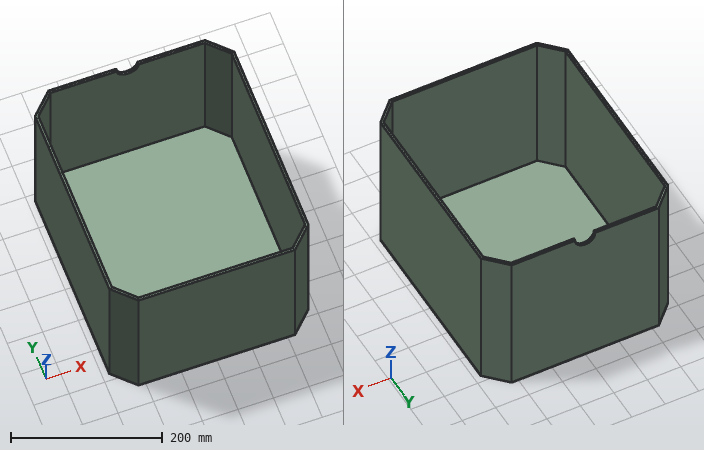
import cadquery as cq

length_x = 280.0
length_y = 340.0
height = 225.0
corner_chamfer = 30.0

wall = 4.0

notch_radius = 15.0
notch_overrun = wall


def chamfered_prism(size_x, size_y, size_z, chamfer):
    """Rectangular block on Z = 0 with its four vertical edges chamfered."""
    block = cq.Workplane("XY").box(size_x, size_y, size_z, centered=(True, True, False))
    return block.edges("|Z").chamfer(chamfer)


def make_shell():
    """Box body with a uniform wall, open at the top."""
    body = chamfered_prism(length_x, length_y, height, corner_chamfer)
    return body.faces(">Z").shell(-wall)


def make_rim_notch():
    """Cylinder along Y, centred on the rim, crossing only the +Y wall."""
    return (
        cq.Workplane("XZ", origin=(0, length_y / 2 + notch_overrun, height))
        .circle(notch_radius)
        .extrude(wall + 2 * notch_overrun)
    )


result = make_shell().cut(make_rim_notch())